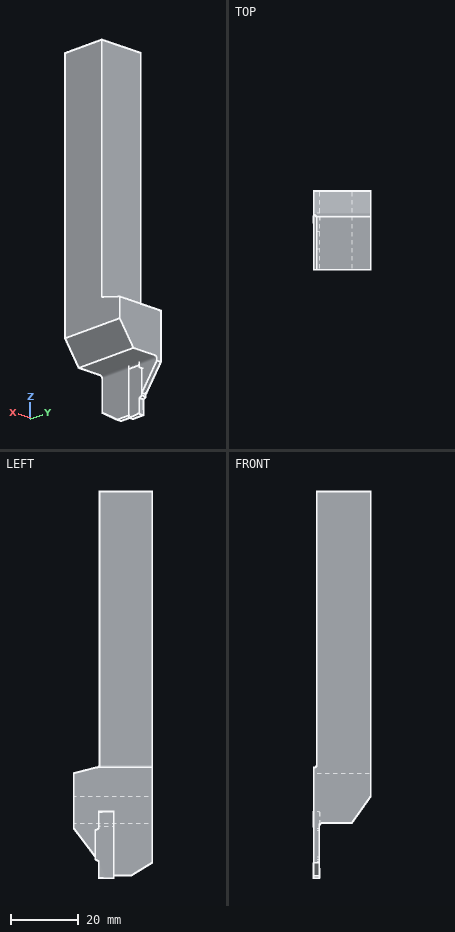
import cadquery as cq

total_width = 17.0
total_depth = 23.3
total_height = 114.3

shank_left = 1.0
shank_depth = 15.7
ledge_z = 32.8
ledge_fillet = 0.7
ledge_flat_depth = 16.6
ledge_back_z = 31.1

head_bottom_z = 16.3
head_chamfer_top_z = 24.2
head_chamfer_start_x = 11.4
blade_root_fillet = 0.9

blade_left = 0.1
blade_thickness = 1.7
blade_right = blade_left + blade_thickness
blade_bottom_z = 0.8
blade_chamfer_depth = 6.3
blade_chamfer_top_z = 4.7
jaw_back_z = 14.9
jaw_tip_z = 6.4

insert_length = 19.8
insert_front_y = 11.4
insert_rake_y = 15.9
insert_crown_y = 16.9
neck_z = 5.0
crown_z = 5.6
flare_front_y = 13.7
cutting_overhang = blade_left
cutting_width = blade_thickness + 2 * cutting_overhang
cutting_corner_radius = 0.3


def make_insert():
    """Insert with a raised middle and a flared cutting edge at each end."""
    body = (
        cq.Workplane("YZ", origin=(blade_left, 0, 0))
        .polyline([
            (insert_front_y, 0),
            (insert_rake_y, 0),
            (insert_rake_y, neck_z),
            (insert_crown_y, crown_z),
            (insert_crown_y, insert_length - crown_z),
            (insert_rake_y, insert_length - neck_z),
            (insert_rake_y, insert_length),
            (insert_front_y, insert_length),
        ])
        .close()
        .extrude(blade_thickness)
    )
    for end_z, inner_z in ((0, neck_z), (insert_length, insert_length - neck_z)):
        for side_x, outward in ((blade_left, -1), (blade_right, 1)):
            body = body.union(make_flare(side_x, outward, end_z, inner_z))

    rounded_ends = (
        cq.Workplane("XZ")
        .rect(cutting_width, insert_length)
        .extrude(-total_depth)
        .edges("|Y")
        .fillet(cutting_corner_radius)
        .translate((cutting_width / 2, 0, insert_length / 2))
    )
    return body.intersect(rounded_ends)


def make_flare(side_x, outward, end_z, inner_z):
    """Tetrahedral relief widening one side of the insert towards its cutting corner."""
    corner = cq.Vector(side_x + outward * cutting_overhang, insert_rake_y, end_z)
    rake = cq.Vector(side_x, insert_rake_y, end_z)
    front = cq.Vector(side_x, flare_front_y, end_z)
    inner = cq.Vector(side_x, insert_rake_y, inner_z)
    triangles = (
        (rake, front, inner),
        (corner, rake, front),
        (corner, front, inner),
        (corner, inner, rake),
    )
    faces = [
        cq.Face.makeFromWires(cq.Wire.makePolygon(points, close=True))
        for points in triangles
    ]
    return cq.Workplane(obj=cq.Solid.makeSolid(cq.Shell.makeShell(faces)))


def make_head():
    """Thick head and thin blade, bounded by an XZ outline and a YZ outline."""
    width_outline = (
        cq.Workplane("XZ")
        .moveTo(blade_left, 0)
        .lineTo(blade_right, 0)
        .lineTo(blade_right, head_bottom_z - blade_root_fillet)
        .radiusArc((blade_right + blade_root_fillet, head_bottom_z), blade_root_fillet)
        .lineTo(head_chamfer_start_x, head_bottom_z)
        .lineTo(total_width, head_chamfer_top_z)
        .lineTo(total_width, ledge_z)
        .lineTo(blade_left, ledge_z)
        .close()
        .extrude(-total_depth)
    )
    depth_outline = (
        cq.Workplane("YZ")
        .polyline([
            (0, blade_chamfer_top_z),
            (blade_chamfer_depth, blade_bottom_z),
            (insert_front_y, blade_bottom_z),
            (insert_crown_y, jaw_tip_z),
            (total_depth, jaw_back_z),
            (total_depth, ledge_back_z),
            (ledge_flat_depth, ledge_z),
            (0, ledge_z),
        ])
        .close()
        .extrude(total_width)
    )
    return width_outline.intersect(depth_outline)


def make_shank():
    """Rectangular bar standing on the ledge."""
    return cq.Workplane("XY", origin=(shank_left, 0, ledge_z)).box(
        total_width - shank_left, shank_depth, total_height - ledge_z, centered=False
    )


def make_holder(insert):
    """Shank, head and blade in one piece, with a seat matching the insert."""
    holder = make_head().union(make_shank())
    inner_corner_edges = cq.selectors.BoxSelector(
        (shank_left - ledge_fillet / 2, -1.1, ledge_z - ledge_fillet / 2),
        (total_width + 1.1, shank_depth + ledge_fillet / 2, ledge_z + ledge_fillet / 2),
        boundingbox=True,
    )
    holder = holder.edges(inner_corner_edges).fillet(ledge_fillet)
    return holder.cut(insert)


insert = make_insert()
holder = make_holder(insert)

result = cq.Compound.makeCompound([holder.solids().val(), insert.solids().val()])